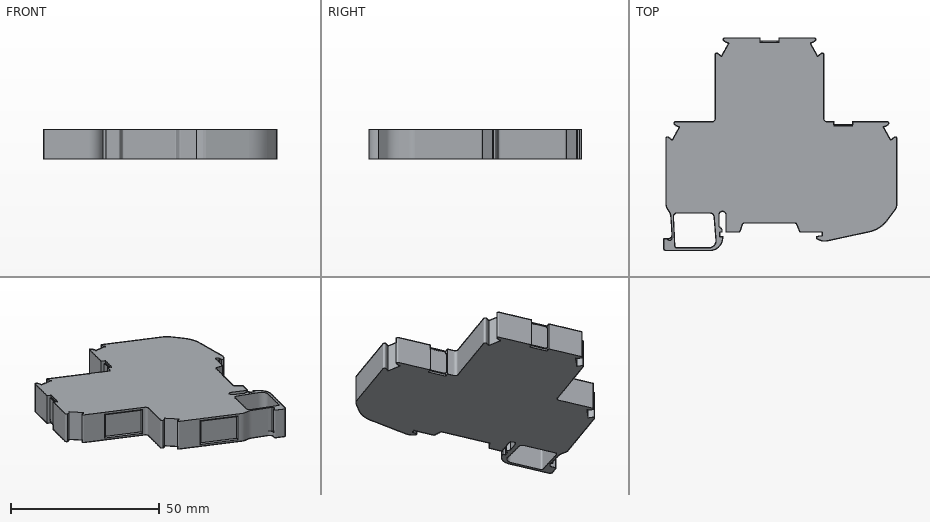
import cadquery as cq


length = 78.65
height = 71.7
thickness = 10.0

body_left = 0.8
shoulder_y = 43.5
tower_left = 17.4
tower_right = 54.0
step_fillet = 1.0
side_end_y = 15.7

foot_y = 6.3
rail_recess_y = 9.3
recess_mouth = (25.7, 45.9)
recess_floor = (26.7, 44.7)
slot_left = 18.7
slot_right = 21.0
slot_radius = (slot_right - slot_left) / 2
slot_center_y = 12.1
rail_corner_fillet = 0.5
claw_root_x = 53.4
claw_tip_x = 51.6
claw_top = 5.0
claw_bottom = 3.2

hook_right = 20.0
latch_nose_x = 19.7
groove_x = 18.95
hook_radius = 4.5
tab_top = 4.1
tab_bottom_radius = 0.95
tab_top_radius = 0.4
wall_foot_x = 2.8
latch_y = 4.7

root_radius = 1.25
root_overlap = 0.4
relief_radius = 0.8
relief_rise = 0.15
relief_floor_z = 1.6

notch_width = 6.3
notch_depth = 1.5
notch_lefts_and_tops = [(32.55, height), (57.4, shoulder_y)]
pad_height = 0.5
pad_chamfer = 0.55
pad_margin = 0.7

pocket_offset = 12.9
pocket_length = 13.7
pocket_depth = 0.5
pocket_margin = 0.7
pocket_draft = 0.4
pocket_draft_top = 0.6

overshoot = 0.8


def body_outline():
    """Outer profile, counter-clockwise from the top left of the tower."""
    return (
        cq.Workplane("XY")
        .moveTo(tower_left, height)
        .lineTo(tower_left, shoulder_y + step_fillet)
        .radiusArc((tower_left - step_fillet, shoulder_y), step_fillet)
        .lineTo(body_left, shoulder_y)
        .lineTo(body_left, side_end_y)
        .tangentArcPoint((1.3, 14.0), relative=False)
        .lineTo(1.8, 13.3)
        .tangentArcPoint((2.4, 11.5), relative=False)
        .lineTo(wall_foot_x, tab_top + root_radius)
        .lineTo(wall_foot_x, tab_top)
        .lineTo(tab_top_radius, tab_top)
        .radiusArc((0, tab_top - tab_top_radius), -tab_top_radius)
        .lineTo(0, tab_bottom_radius)
        .radiusArc((tab_bottom_radius, 0), -tab_bottom_radius)
        .lineTo(hook_right - hook_radius, 0)
        .radiusArc((hook_right, hook_radius), -hook_radius)
        .lineTo(hook_right, latch_y)
        .lineTo(groove_x, latch_y)
        .lineTo(groove_x, foot_y)
        .lineTo(latch_nose_x, foot_y)
        .lineTo(latch_nose_x, 7.2)
        .lineTo(slot_left, 8.2)
        .lineTo(slot_left, slot_center_y)
        .radiusArc((slot_right, slot_center_y), slot_radius)
        .lineTo(slot_right, foot_y)
        .lineTo(recess_mouth[0], foot_y)
        .lineTo(recess_floor[0], rail_recess_y)
        .lineTo(recess_floor[1], rail_recess_y)
        .lineTo(recess_mouth[1], foot_y)
        .lineTo(claw_root_x, foot_y)
        .lineTo(claw_root_x, claw_top)
        .lineTo(52.5, claw_top)
        .lineTo(claw_tip_x, 4.7)
        .lineTo(claw_tip_x, 4.1)
        .threePointArc((52.45, 3.6), (53.8, claw_bottom))
        .lineTo(54.8, claw_bottom)
        .lineTo(69.35, 6.4)
        .tangentArcPoint((75.3, 10.2), relative=False)
        .lineTo(77.9, 13.7)
        .tangentArcPoint((length, side_end_y), relative=False)
        .lineTo(length, shoulder_y)
        .lineTo(tower_right + step_fillet, shoulder_y)
        .radiusArc((tower_right, shoulder_y + step_fillet), step_fillet)
        .lineTo(tower_right, height)
        .close()
    )


def corner_cutter(side_x, top_y, inward):
    """Marker-groove corner cut; inward is +1 on a left corner and -1 on a right one."""

    def at(inset, drop):
        return (side_x + inward * inset, top_y - drop)

    return (
        cq.Workplane("XY")
        .moveTo(*at(3.3, -overshoot))
        .lineTo(*at(3.3, 0))
        .threePointArc(at(2.8, 0.2), at(2.7, 0.7))
        .lineTo(*at(3.45, 1.4))
        .lineTo(*at(4.6, 1.8))
        .lineTo(*at(2.1, 6.2))
        .lineTo(*at(0.95, 5.3))
        .threePointArc(at(0.3, 5.2), at(0, 5.7))
        .lineTo(*at(-overshoot, 5.7))
        .lineTo(*at(-overshoot, -overshoot))
        .close()
        .extrude(thickness)
    )


def hook_window():
    """Four-sided opening inside the hook, each corner with its own radius."""
    corners = [(3.3, 12.7, 1.1), (16.9, 12.7, 1.25), (17.85, 1.0, 2.35), (3.85, 1.0, 0.6)]
    window = cq.Workplane("XY").polyline([(x, y) for x, y, _ in corners]).close().extrude(thickness)
    for x, y, radius in corners:
        window = window.edges(cq.NearestToPointSelector((x, y, thickness / 2))).fillet(radius)
    return window


def root_web():
    """Rounded web between tab and hook wall, only up to the relief floor."""
    return (
        cq.Workplane("XY")
        .moveTo(wall_foot_x - root_radius, tab_top)
        .radiusArc((wall_foot_x, tab_top + root_radius), -root_radius)
        .lineTo(wall_foot_x + root_overlap, tab_top)
        .lineTo(wall_foot_x, tab_top - root_overlap)
        .close()
        .extrude(relief_floor_z)
    )


def root_relief():
    """Round relief at the root of the tab, above the web."""
    return (
        cq.Workplane("XY", origin=(0, 0, relief_floor_z))
        .center(wall_foot_x - relief_radius, tab_top + relief_rise)
        .circle(relief_radius)
        .extrude(thickness - relief_floor_z)
    )


def notch_cutter(left, top):
    """Rectangular notch, open at the top of a step and through the thickness."""
    return (
        cq.Workplane("XY")
        .box(notch_width, notch_depth + overshoot, thickness, centered=False)
        .translate((left, top - notch_depth, 0))
    )


def notch_pad(left, top):
    """Low pad on the notch floor with its four corners chamfered."""
    pad_span = thickness - 2 * pad_margin
    return (
        cq.Workplane("XY")
        .box(notch_width, pad_height, pad_span, centered=False)
        .edges("|Y")
        .chamfer(pad_chamfer)
        .translate((left, top - notch_depth, pad_margin))
    )


def wall_rectangle(x, bottom, top, low, high):
    """Rectangular wire in the YZ plane at x."""
    corners = [(bottom, low), (top, low), (top, high), (bottom, high)]
    return cq.Wire.makePolygon([cq.Vector(x, y, z) for y, z in corners], close=True)


def label_pocket(wall_x, step_top):
    """Drafted pocket sunk into a wall that faces -X."""
    top = step_top - pocket_offset
    bottom = top - pocket_length
    low = pocket_margin
    high = thickness - pocket_margin
    mouth = wall_rectangle(wall_x, bottom, top, low, high)
    floor = wall_rectangle(
        wall_x + pocket_depth,
        bottom + pocket_draft,
        top - pocket_draft_top,
        low + pocket_draft,
        high - pocket_draft,
    )
    return cq.Workplane(obj=cq.Solid.makeLoft([mouth, floor], True))


body = body_outline().extrude(thickness)

recess_edges = [(x, foot_y) for x in recess_mouth] + [(x, rail_recess_y) for x in recess_floor]
for x, y in recess_edges:
    body = body.edges(cq.NearestToPointSelector((x, y, thickness / 2))).fillet(rail_corner_fillet)

body = body.cut(hook_window())
body = body.union(root_web()).cut(root_relief())

step_corners = [
    (tower_left, height, 1),
    (tower_right, height, -1),
    (body_left, shoulder_y, 1),
    (length, shoulder_y, -1),
]
for side_x, top_y, inward in step_corners:
    body = body.cut(corner_cutter(side_x, top_y, inward))

for left, top in notch_lefts_and_tops:
    body = body.cut(notch_cutter(left, top)).union(notch_pad(left, top))

for wall_x, step_top in [(tower_left, height), (body_left, shoulder_y)]:
    body = body.cut(label_pocket(wall_x, step_top))

result = body